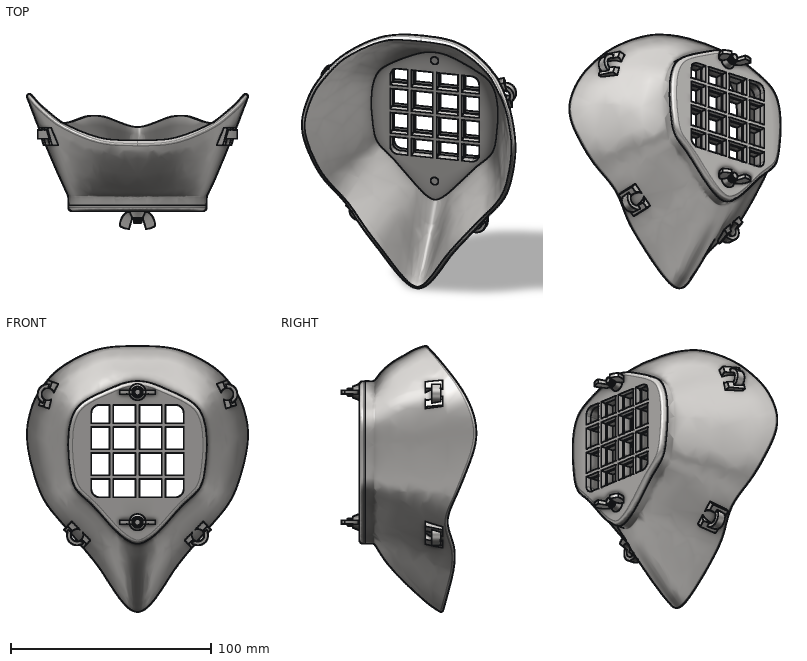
import cadquery as cq
import math


GUIDES = [
    ((0.0, 49.0), (0.0, 33.4, 66.8), 0.9),
    ((12.0, 46.0), (19.2, 34.9, 65.3), 0.9),
    ((24.8, 40.0), (39.2, 43.5, 55.5), 0.5),
    ((31.0, 34.5), (49.0, 51.5, 44.6), 0.3),
    ((34.0, 26.0), (54.2, 56.8, 33.6), 0.1),
    ((34.6, 17.0), (55.9, 58.7, 23.0), 0.1),
    ((33.8, 5.6), (52.9, 54.0, 4.8), 0.1),
    ((31.0, -4.6), (47.6, 48.0, -9.6), 0.2),
    ((23.6, -12.0), (38.8, 44.3, -21.6), 0.2),
    ((15.6, -20.8), (28.6, 47.4, -33.6), 0.2),
    ((10.7, -26.0), (18.8, 47.2, -45.6), 0.2),
    ((6.0, -29.9), (9.2, 43.6, -60.0), 0.5),
    ((0.0, -32.3), (0.0, 41.5, -67.2), 0.5),
]

COVER_THICKNESS = 3.0
COVER_EDGE_RADIUS = 2.0

FLARE_START = 7.0
FRONT_WALL_BACK = 8.0
WALL_INSET = 2.3
LOFT_END = 62.0
OUTER_STATIONS = [COVER_THICKNESS, 5.0, FLARE_START, 12.0, 20.0, 32.0, 39.0, 46.0, 53.0, LOFT_END]
INNER_STATIONS = [FRONT_WALL_BACK, 12.0, 20.0, 32.0, 39.0, 46.0, 53.0, LOFT_END]
GUIDE_OVERRUN = 0.06
RIM_RADIUS = 1.2
RIM_OVERRUN = 8.0

GRILLE_SIZE = 46.0
GRILLE_CENTER_Z = 14.0
GRILLE_CORNER_RADIUS = 4.0
BAR_WIDTH = 2.0
BAR_PITCH = 13.0
SHELL_BAR_FRONT = COVER_THICKNESS + 1.0

BOLT_HEIGHTS = [43.5, -21.5]
BOLT_DIAMETER = 4.0
THREAD_MINOR_DIAMETER = 3.09
THREAD_PITCH = 0.7
BOLT_TIP = -6.0
NUT_HEIGHT = 3.2
NUT_BASE_DIAMETER = 8.2
NUT_TOP_DIAMETER = 5.6
WING_THICKNESS = 2.0

CLIPS = [((44.8, 42.4), 19.0), ((30.2, -28.0), -47.0)]
CLIP_BORE_RADIUS = 3.1
CLIP_RING_RADIUS = 5.1
RING_FRONT, RING_BACK = 36.2, 40.8
FOOT_FRONT, FOOT_BACK = 33.0, 41.7
FOOT_LENGTH = 13.2
FOOT_DEPTH = 4.0
FOOT_FRONT_HEIGHT, FOOT_BACK_HEIGHT = 0.0, 2.5

FAR = 200.0


def plane_at(y):
    """XZ plane at depth y, whose extrusions run toward +Y."""
    return cq.Plane(origin=(0, y, 0), xDir=(-1, 0, 0), normal=(0, 1, 0))


def cylinder(x, z, radius, y_start, y_end):
    return cq.Workplane(
        cq.Solid.makeCylinder(radius, y_end - y_start, cq.Vector(x, y_start, z), cq.Vector(0, 1, 0))
    )


def guide_point(guide, y):
    """Point (x, z) where a guide line crosses depth y; along Y before the flare and again past the rim."""
    (collar_x, collar_z), (rim_x, rim_y, rim_z), bulge = guide
    travel = max(0.0, (y - FLARE_START) / (rim_y - FLARE_START))
    past_rim = max(0.0, travel - 1)
    travel = min(travel, 1) + GUIDE_OVERRUN * math.tanh(past_rim / GUIDE_OVERRUN)
    spread = travel * (1 + bulge) / (1 + bulge * travel)
    return collar_x + (rim_x - collar_x) * spread, collar_z + (rim_z - collar_z) * spread


def full_loop(half):
    """Right half of a loop of (x, ...) points, continued by its mirror image on the left."""
    return half + [(-point[0], *point[1:]) for point in half[-2:0:-1]]


def loop_steps():
    """Distance round the loop to each guide line and back, averaged over the collar and the rim."""
    collar = full_loop([guide[0] for guide in GUIDES])
    rim = full_loop([guide[1] for guide in GUIDES])
    steps = [0.0]
    for i in range(len(collar)):
        following = (i + 1) % len(collar)
        collar_step = math.dist(collar[i], collar[following])
        rim_step = math.dist(rim[i], rim[following])
        steps.append(steps[-1] + (collar_step + rim_step) / 2)
    return steps


LOOP_STEPS = loop_steps()


def section_wire(y, inset=0.0):
    """Closed smooth cross-section of the shell at depth y, moved inward by the inset."""
    loop = full_loop([guide_point(guide, y) for guide in GUIDES])
    points = []
    for i, (x, z) in enumerate(loop):
        before = loop[i - 1]
        after = loop[(i + 1) % len(loop)]
        run_x, run_z = after[0] - before[0], after[1] - before[1]
        length = math.hypot(run_x, run_z)
        points.append(cq.Vector(x + inset * run_z / length, y, z - inset * run_x / length))
    tangents = [cq.Vector(1, 0, 0)] + [None] * (len(points) - 1)
    outline = cq.Edge.makeSpline(points, periodic=True, tangents=tangents, parameters=LOOP_STEPS)
    return cq.Wire.assembleEdges([outline])


def loft(stations, inset=0.0):
    sections = [section_wire(y, inset) for y in stations]
    solid = cq.occ_impl.shapes.loft(sections, cap=True, continuity="C1", parametrization="chordal")
    return cq.Workplane(solid)


def grille_block(y_start, y_end):
    """Rounded square block that fills the grille opening."""
    return (
        cq.Workplane(plane_at(y_start))
        .center(0, GRILLE_CENTER_Z)
        .rect(GRILLE_SIZE, GRILLE_SIZE)
        .extrude(y_end - y_start)
        .edges("|Y")
        .fillet(GRILLE_CORNER_RADIUS)
    )


def grille_bars(y_start, y_end):
    depth = y_end - y_start
    middle = (y_start + y_end) / 2
    bars = cq.Workplane()
    for i in (-1, 0, 1):
        offset = i * BAR_PITCH
        upright = cq.Workplane().box(BAR_WIDTH, depth, GRILLE_SIZE)
        level = cq.Workplane().box(GRILLE_SIZE, depth, BAR_WIDTH)
        bars = bars.add(upright.translate((offset, middle, GRILLE_CENTER_Z)))
        bars = bars.add(level.translate((0, middle, GRILLE_CENTER_Z + offset)))
    return bars.combine()


def make_cover():
    blank = cq.Workplane(
        cq.Solid.extrudeLinear(section_wire(0), [], cq.Vector(0, COVER_THICKNESS, 0))
    )
    blank = blank.faces("<Y").edges().fillet(COVER_EDGE_RADIUS)
    openings = grille_block(0, COVER_THICKNESS).cut(grille_bars(0, COVER_THICKNESS))
    cover = blank.cut(openings)
    for z in BOLT_HEIGHTS:
        cover = cover.cut(cylinder(0, z, BOLT_DIAMETER / 2, 0, COVER_THICKNESS))
    return cover


def rim_cutter():
    """Everything behind the rim: the rim curve seen along X, swept across the whole width."""
    rim = [(y, z) for _, (_, y, z), _ in GUIDES]
    above = (rim[0][0] - RIM_OVERRUN, rim[0][1] + RIM_OVERRUN)
    below = (rim[-1][0] - RIM_OVERRUN / 2, rim[-1][1] - RIM_OVERRUN)
    return (
        cq.Workplane("YZ")
        .moveTo(FAR, FAR)
        .lineTo(above[0], FAR)
        .lineTo(*above)
        .spline([*rim, below], includeCurrent=True)
        .lineTo(below[0], -FAR)
        .lineTo(FAR, -FAR)
        .close()
        .extrude(FAR / 2, both=True)
    )


def make_clip(center, outward_angle):
    """Strap loop along Y standing on a pair of feet that sink into the shell."""
    foot_profile = [
        (-FOOT_DEPTH, FOOT_FRONT),
        (FOOT_FRONT_HEIGHT, FOOT_FRONT),
        (FOOT_BACK_HEIGHT, FOOT_BACK),
        (-FOOT_DEPTH, FOOT_BACK),
    ]
    feet = cq.Workplane("XY").polyline(foot_profile).close().extrude(FOOT_LENGTH / 2, both=True)
    ring = cylinder(0, 0, CLIP_RING_RADIUS, RING_FRONT, RING_BACK)
    bore = cylinder(0, 0, CLIP_BORE_RADIUS, FOOT_FRONT, FOOT_BACK)
    clip = feet.union(ring).cut(bore)
    clip = clip.rotate((0, 0, 0), (0, 1, 0), -outward_angle)
    return clip.translate((center[0], 0, center[1]))


def make_shell():
    outer = loft(OUTER_STATIONS)
    cavity = loft(INNER_STATIONS, WALL_INSET)
    shell = outer.cut(rim_cutter())
    for center, angle in CLIPS:
        clip = make_clip(center, angle)
        shell = shell.union(clip).union(clip.mirror("YZ"))
    shell = shell.cut(cavity)
    outer_rim = shell.faces("%EXTRUSION").edges(cq.selectors.LengthNthSelector(-1))
    shell = cq.Workplane(shell.val().fillet(RIM_RADIUS, outer_rim.vals()))
    opening = grille_block(COVER_THICKNESS, FRONT_WALL_BACK)
    shell = shell.cut(opening.cut(grille_bars(SHELL_BAR_FRONT, FRONT_WALL_BACK)))
    for z in BOLT_HEIGHTS:
        shell = shell.cut(cylinder(0, z, BOLT_DIAMETER / 2, COVER_THICKNESS, FRONT_WALL_BACK))
    return shell


def make_bolt(z):
    """Bolt whose free end, beyond the nut, carries ring-shaped thread grooves."""
    major = BOLT_DIAMETER / 2
    minor = THREAD_MINOR_DIAMETER / 2
    profile = [(0, FRONT_WALL_BACK), (major, FRONT_WALL_BACK)]
    crest = -NUT_HEIGHT
    while crest - THREAD_PITCH > BOLT_TIP:
        profile.append((major, crest))
        profile.append((minor, crest - THREAD_PITCH / 2))
        crest -= THREAD_PITCH
    profile += [(major, crest), (minor, BOLT_TIP), (0, BOLT_TIP)]
    bolt = cq.Workplane("XY").polyline(profile).close().revolve(360, (0, 0), (0, 1))
    return bolt.translate((0, 0, z))


def make_wing_nut(z):
    """Conical boss with two flat, rounded wings that spread sideways and forward."""
    base = NUT_BASE_DIAMETER / 2
    top = NUT_TOP_DIAMETER / 2
    boss = (
        cq.Workplane("XY")
        .polyline([(0, 0), (base, 0), (top, -NUT_HEIGHT), (0, -NUT_HEIGHT)])
        .close()
        .revolve(360, (0, 0), (0, 1))
    )
    wing = (
        cq.Workplane("XY")
        .moveTo(2.2, -0.3)
        .lineTo(5.4, -0.3)
        .threePointArc((8.0, -3.4), (8.9, -7.2))
        .threePointArc((6.7, -8.4), (4.2, -8.8))
        .lineTo(2.5, -3.2)
        .close()
        .extrude(WING_THICKNESS / 2, both=True)
    )
    nut = boss.union(wing).union(wing.mirror("YZ"))
    nut = nut.cut(cylinder(0, 0, BOLT_DIAMETER / 2, -FAR, FAR))
    return nut.translate((0, 0, z))


cover = make_cover()
shell = make_shell()
bolts = [make_bolt(z).val() for z in BOLT_HEIGHTS]
wing_nuts = [make_wing_nut(z).val() for z in BOLT_HEIGHTS]

result = cq.Compound.makeCompound([shell.val(), cover.val(), *bolts, *wing_nuts])